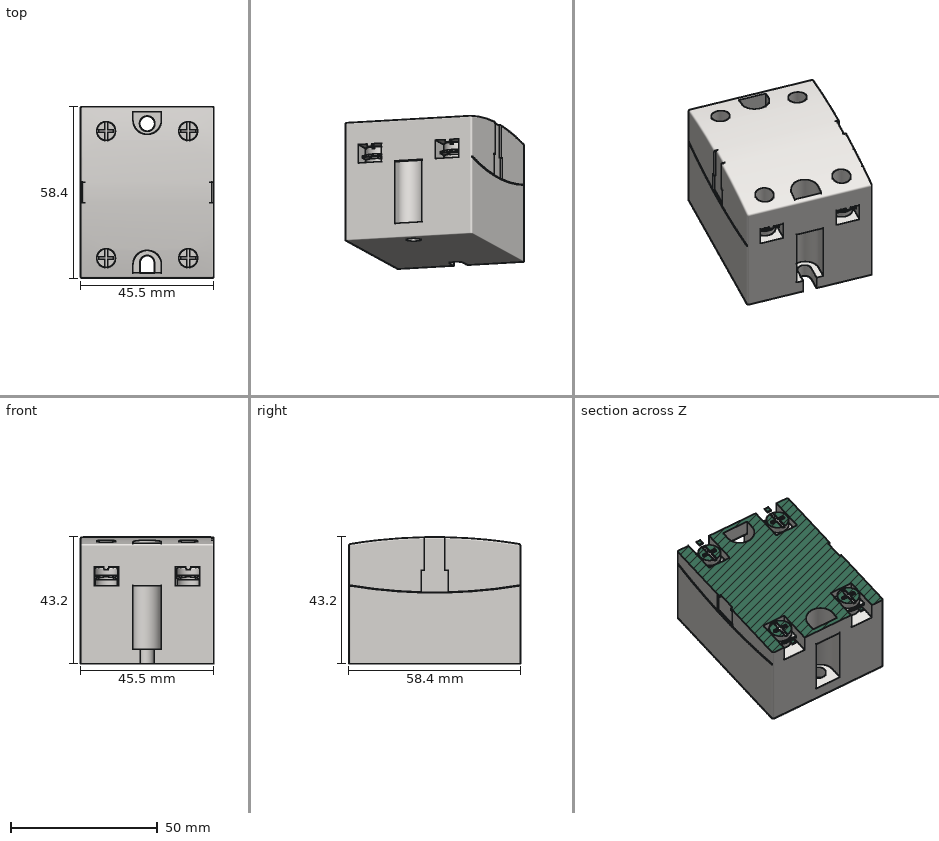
import cadquery as cq
import math

WIDTH = 45.45
LENGTH = 58.4
HEIGHT = 43.2
CROWN_RADIUS = 175.25
EDGE_FILLET = 0.7
BASE_FILLET = 0.3

SEAM_LOW_Z = 24.25
SEAM_WIDTH = 0.25
SEAM_DEPTH = 0.1

CLIP_DEPTH = 0.7
CLIP_UPPER_WIDTH = 7.0
CLIP_LOWER_WIDTH = 9.25
CLIP_STEP_Z = 31.8

END_WALL = 1.8
WELL_WIDTH = 9.7
WELL_CENTER_Y = 24.6
FLANGE_THICKNESS = 4.95
SHELF_Z = 26.6
MOUNT_HOLE_DIAMETER = 5.1
MOUNT_HOLE_Y = 23.35
MOUNT_SLOT_WIDTH = 4.85
MOUNT_SLOT_Y = -23.95

TERMINAL_X = 13.95
WINDOW_X = 13.8
FRONT_TERMINAL_Y = -22.4
BACK_TERMINAL_Y = 20.85
CHAMBER_WIDTH = 8.35
CHAMBER_HEIGHT = 6.35
CHAMBER_INNER_Y = 16.65
ACCESS_HOLE_DIAMETER = 6.35
TAB_TOP_WIDTH = 1.9
TAB_BOTTOM_WIDTH = 1.35
TAB_HEIGHT = 0.9

POST_DIAMETER = 7.6
POST_HEIGHT = 2.05
SHANK_DIAMETER = 5.1
HEAD_DIAMETER = 7.75
HEAD_BOTTOM_Z = 30.2
HEAD_HEIGHT = 2.6
HEAD_FILLET = 0.65
WASHER_SIDE = 7.8
WASHER_THICKNESS = 0.65
WASHER_RISE = 0.5
CROSS_SLOT_WIDTH = 0.95
CROSS_SHORT_ARM = 4.95
CROSS_DEPTH = 0.75

CROWN_SAGITTA = CROWN_RADIUS - math.sqrt(CROWN_RADIUS**2 - (LENGTH / 2) ** 2)
EAVE_Z = HEIGHT - CROWN_SAGITTA
WELL_END_Y = LENGTH / 2 - END_WALL
CHAMBER_TOP_Z = SHELF_Z + CHAMBER_HEIGHT


def box_between(x_range, y_range, z_range):
    """Axis-aligned box given by its limits along X, Y and Z."""
    size = [high - low for low, high in (x_range, y_range, z_range)]
    corner = cq.Vector(x_range[0], y_range[0], z_range[0])
    return cq.Workplane("XY").box(*size, centered=False).translate(corner)


def cylinder(diameter, x, y, z_low, z_high):
    """Upright cylinder between two heights."""
    return cq.Workplane("XY", origin=(x, y, z_low)).circle(diameter / 2).extrude(z_high - z_low)


def crowned_block(width):
    """Block of the given width with the crowned top and all its edges rounded."""
    profile = (
        cq.Workplane("YZ", origin=(-width / 2, 0, 0))
        .moveTo(-LENGTH / 2, 0)
        .lineTo(LENGTH / 2, 0)
        .lineTo(LENGTH / 2, EAVE_Z)
        .threePointArc((0, HEIGHT), (-LENGTH / 2, EAVE_Z))
        .close()
    )
    block = profile.extrude(width).edges("|Z").fillet(EDGE_FILLET)
    return block.faces(">Z").edges().fillet(EDGE_FILLET).faces("<Z").edges().fillet(BASE_FILLET)


def below_seam(offset):
    """Everything below the seam curve raised by an offset, over the full width."""
    low_z = SEAM_LOW_Z + offset
    end_z = low_z + CROWN_SAGITTA
    return (
        cq.Workplane("YZ", origin=(-WIDTH / 2, 0, 0))
        .moveTo(-LENGTH / 2, 0)
        .lineTo(LENGTH / 2, 0)
        .lineTo(LENGTH / 2, end_z)
        .threePointArc((0, low_z), (-LENGTH / 2, end_z))
        .close()
        .extrude(WIDTH)
    )


def seam_groove():
    """Grooves along the seam on both long sides."""
    band = below_seam(SEAM_WIDTH / 2).cut(below_seam(-SEAM_WIDTH / 2))
    return band.cut(cq.Workplane("XY").box(WIDTH - 2 * SEAM_DEPTH, LENGTH, 2 * HEIGHT))


def clip_recesses():
    """Stepped recesses whose floors keep the crown and the rounded edge of the housing."""
    half_width = WIDTH / 2
    upper_half = CLIP_UPPER_WIDTH / 2
    lower_half = CLIP_LOWER_WIDTH / 2
    upper = box_between((-half_width, half_width), (-upper_half, upper_half), (CLIP_STEP_Z, HEIGHT))
    lower = box_between((-half_width, half_width), (-lower_half, lower_half), (SEAM_LOW_Z, CLIP_STEP_Z))
    stepped = upper.union(lower).cut(below_seam(SEAM_WIDTH / 2))
    return stepped.cut(crowned_block(WIDTH - 2 * CLIP_DEPTH))


def mounting_well(end):
    """Round-backed well, closed by the end wall above the shelf and open to the end below it."""
    radius = WELL_WIDTH / 2

    def u_shape(outer_y, top_z):
        z_range = (FLANGE_THICKNESS, top_z)
        straight = box_between((-radius, radius), (WELL_CENTER_Y, outer_y), z_range)
        back = cylinder(WELL_WIDTH, 0, WELL_CENTER_Y, *z_range)
        inner_half = box_between((-radius, radius), (WELL_CENTER_Y - radius, WELL_CENTER_Y), z_range)
        return straight.union(back.intersect(inner_half))

    well = u_shape(WELL_END_Y, HEIGHT).union(u_shape(LENGTH / 2, SHELF_Z))
    return well if end > 0 else well.mirror("XZ")


def mounting_holes():
    """Round hole in the back flange and open-ended slot in the front flange."""
    hole = cylinder(MOUNT_HOLE_DIAMETER, 0, MOUNT_HOLE_Y, 0, FLANGE_THICKNESS)
    slot_end = cylinder(MOUNT_SLOT_WIDTH, 0, MOUNT_SLOT_Y, 0, FLANGE_THICKNESS)
    half_slot = MOUNT_SLOT_WIDTH / 2
    slot = box_between((-half_slot, half_slot), (-LENGTH / 2, MOUNT_SLOT_Y), (0, FLANGE_THICKNESS))
    return hole.union(slot_end).union(slot)


def terminal_chamber(side, end, screw_y):
    """Wire chamber with a small tab hanging from the window lintel, and the access hole above it."""
    center_x = side * WINDOW_X
    x_range = (center_x - CHAMBER_WIDTH / 2, center_x + CHAMBER_WIDTH / 2)
    y_range = sorted((end * CHAMBER_INNER_Y, end * LENGTH / 2))
    chamber = box_between(x_range, y_range, (SHELF_Z, CHAMBER_TOP_Z))
    tab = (
        cq.Workplane("XZ", origin=(side * TERMINAL_X, end * LENGTH / 2, CHAMBER_TOP_Z))
        .polyline(
            [
                (-TAB_TOP_WIDTH / 2, 0),
                (TAB_TOP_WIDTH / 2, 0),
                (TAB_BOTTOM_WIDTH / 2, -TAB_HEIGHT),
                (-TAB_BOTTOM_WIDTH / 2, -TAB_HEIGHT),
            ]
        )
        .close()
        .extrude(end * END_WALL)
    )
    access = cylinder(ACCESS_HOLE_DIAMETER, side * TERMINAL_X, screw_y, SHELF_Z, HEIGHT)
    return chamber.cut(tab).union(access)


def arched_washer():
    """Square washer arched about the Y direction, its crest touching the screw head."""
    half_side = WASHER_SIDE / 2
    crest_z = HEAD_BOTTOM_Z
    edge_z = crest_z - WASHER_RISE
    return (
        cq.Workplane("XZ", origin=(0, half_side, 0))
        .moveTo(-half_side, edge_z)
        .threePointArc((0, crest_z), (half_side, edge_z))
        .lineTo(half_side, edge_z - WASHER_THICKNESS)
        .threePointArc((0, crest_z - WASHER_THICKNESS), (-half_side, edge_z - WASHER_THICKNESS))
        .close()
        .extrude(WASHER_SIDE)
    )


def terminal_screw():
    """Post, shank, washer and head of one terminal, on the Z axis."""
    head_top_z = HEAD_BOTTOM_Z + HEAD_HEIGHT
    head = cylinder(HEAD_DIAMETER, 0, 0, HEAD_BOTTOM_Z, head_top_z).faces(">Z").edges().fillet(HEAD_FILLET)
    for arm_x, arm_y in ((CROSS_SLOT_WIDTH, HEAD_DIAMETER), (CROSS_SHORT_ARM, CROSS_SLOT_WIDTH)):
        arm = cq.Workplane("XY", origin=(0, 0, head_top_z)).rect(arm_x, arm_y).extrude(-CROSS_DEPTH)
        head = head.cut(arm)
    post = cylinder(POST_DIAMETER, 0, 0, SHELF_Z, SHELF_Z + POST_HEIGHT)
    shank = cylinder(SHANK_DIAMETER, 0, 0, SHELF_Z, HEAD_BOTTOM_Z)
    return post.union(shank).union(arched_washer()).union(head)


result = crowned_block(WIDTH).cut(seam_groove()).cut(clip_recesses())
result = result.cut(mounting_well(1)).cut(mounting_well(-1)).cut(mounting_holes())

screw = terminal_screw()
for end, screw_y in ((1, BACK_TERMINAL_Y), (-1, FRONT_TERMINAL_Y)):
    for side in (1, -1):
        result = result.cut(terminal_chamber(side, end, screw_y))
        result = result.union(screw.translate((side * TERMINAL_X, screw_y, 0)))